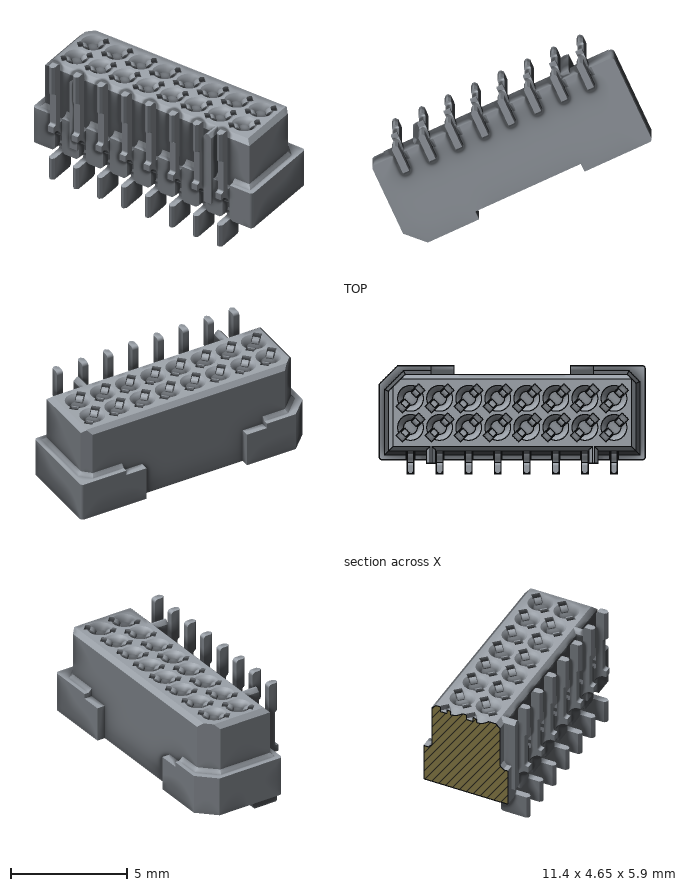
import cadquery as cq
import math

flange_length = 11.45
flange_front = 0.6
flange_back = 4.65
flange_height = 1.83
flange_corner_radius = 0.15
flange_key_chamfer = 0.8

body_length = 10.65
body_front = 0.97
body_back = 4.27
body_top = 4.2
body_edge_chamfer = 0.21
body_key_chamfer = 0.72
body_back_chamfer = 0.38
foot = 0.16

back_notch_length = 4.99
back_ledge_length = 6.98
back_ledge_depth = 0.23

rib_spacing = 6.98
rib_width = 0.4
rib_front = 0.45
rib_bottom = 0.58
rib_chamfer = 0.16

columns = 8
row_length = 8.75
pitch = row_length / (columns - 1)
column_places = [(i - (columns - 1) / 2) * pitch for i in range(columns)]
front_row_y = 1.99
row_places = [front_row_y, front_row_y + pitch]

socket_top_diameter = 1.11
socket_floor_diameter = 0.6
socket_depth = 0.25
socket_slot_length = 1.37
socket_slot_width = 0.39
socket_slot_angle = 45.0
finger_width = 0.3
finger_inner = 0.2
finger_outer = 0.44
finger_drop = 0.03
finger_tip = 0.05
finger_bulge = 0.029

pin_width = 0.3
pin_top = 4.8
pin_back = 0.49
pin_bottom = -1.1
pin_shank_front = 0.18
pin_head_bottom = 3.39
pin_shoulder_top = 1.7
pin_shoulder_bottom = 1.39
pin_bend_radius = 0.1
pin_top_radius = 0.15
pin_edge_chamfer = 0.1
arm_front = 0.57
arm_top = 1.67
arm_arc_end = 0.97
arm_arc_sagitta = 0.07
arm_bottom = 0.86
root_front = 0.75
root_radius = 0.14
tail_back = 1.32
tail_corner_chamfer = 0.08
tail_root = 0.06
post_front = 0.9
post_bend = 0.06
post_height = 0.34
post_heel_height = 0.13
post_shoulder = 0.1
slot_width = 0.35
slot_mouth_width = 0.64
slot_mouth_height = 0.13
embed = 0.11


def body_outline(grow):
    """Body outline moved outward by grow, with its two bevelled back corners."""
    side = body_length / 2 + grow
    front = body_front - grow
    back = body_back + grow
    bevel_growth = grow * (2 - math.sqrt(2))
    key = body_key_chamfer + bevel_growth
    bevel = body_back_chamfer + bevel_growth
    return [
        (-side, front),
        (side, front),
        (side, back - bevel),
        (side - bevel, back),
        (key - side, back),
        (-side, back - key),
    ]


def box(x_min, x_max, y_min, y_max, z_min, z_max):
    size = (x_max - x_min, y_max - y_min, z_max - z_min)
    return cq.Workplane("XY").box(*size, centered=False).translate((x_min, y_min, z_min))


def make_flange():
    side = flange_length / 2
    flange = box(-side, side, flange_front, flange_back, 0, flange_height)
    flange = flange.edges("|Z and (>X or <Y)").fillet(flange_corner_radius)
    flange = flange.edges("|Z and <X and >Y").chamfer(flange_key_chamfer)
    notch = back_notch_length / 2
    ledge_floor = flange_height - back_ledge_depth
    flange = flange.cut(box(-notch, notch, body_back, flange_back, 0, flange_height))
    ledge = back_ledge_length / 2
    return flange.cut(box(-ledge, ledge, body_back, flange_back, ledge_floor, flange_height))


def make_body():
    side = body_length / 2
    block = box(-side, side, body_front, body_back, 0, body_top)
    block = block.faces(">Z").edges().chamfer(body_edge_chamfer)
    return block.intersect(cq.Workplane("XY").polyline(body_outline(0)).close().extrude(body_top))


def make_foot():
    base = cq.Workplane("XY", origin=(0, 0, flange_height)).polyline(body_outline(foot)).close()
    slope = base.workplane(offset=foot).polyline(body_outline(0)).close().loft(ruled=True)
    ledge = back_ledge_length / 2
    return slope.cut(box(-ledge, ledge, body_back, body_back + foot, flange_height, flange_height + foot))


def make_rib(x):
    rib_back = body_front + body_edge_chamfer
    rib = box(x - rib_width / 2, x + rib_width / 2, rib_front, rib_back, rib_bottom, body_top)
    return rib.edges("|Y and >Z").chamfer(rib_chamfer)


def make_pin_slot(x):
    """Slot through the flange and foot, flared at the underside."""
    half = slot_width / 2
    mouth = slot_mouth_width / 2
    profile = [
        (x - mouth, 0),
        (x + mouth, 0),
        (x + half, slot_mouth_height),
        (x + half, flange_height + foot),
        (x - half, flange_height + foot),
        (x - half, slot_mouth_height),
    ]
    return cq.Workplane("XZ").polyline(profile).close().extrude(-body_front)


def make_pin_upper():
    """Head, shank, shoulder and the arm that enters the housing; drawn in the YZ plane."""
    r = pin_bend_radius
    arc_mid = r * (1 - math.sqrt(0.5))
    shank = pin_shank_front
    anchor = body_front + embed
    root_top = arm_top - root_radius
    profile = (
        cq.Workplane("YZ")
        .moveTo(0, pin_top)
        .lineTo(0, pin_head_bottom)
        .lineTo(shank - r, pin_head_bottom)
        .threePointArc((shank - arc_mid, pin_head_bottom - arc_mid), (shank, pin_head_bottom - r))
        .lineTo(shank, pin_shoulder_top + r)
        .threePointArc((shank - arc_mid, pin_shoulder_top + arc_mid), (shank - r, pin_shoulder_top))
        .lineTo(0, pin_shoulder_top)
        .lineTo(0, pin_shoulder_bottom)
        .lineTo(shank, pin_shoulder_bottom)
        .sagittaArc((arm_front, arm_arc_end), arm_arc_sagitta)
        .radiusArc((arm_front + arm_arc_end - arm_bottom, arm_bottom), -(arm_arc_end - arm_bottom))
        .lineTo(anchor, arm_bottom)
        .lineTo(anchor, root_top)
        .lineTo(root_front + root_radius, root_top)
        .radiusArc((root_front, arm_top), -root_radius)
        .lineTo(arm_front, arm_top)
        .radiusArc((pin_back, arm_top + arm_front - pin_back), arm_front - pin_back)
        .lineTo(pin_back, pin_top - pin_top_radius)
        .radiusArc((pin_back - pin_top_radius, pin_top), -pin_top_radius)
        .close()
    )
    pin = profile.extrude(pin_width / 2, both=True)
    head_zone = cq.selectors.BoxSelector(
        (-pin_width, -pin_shank_front, pin_head_bottom), (pin_width, pin_shank_front / 2, pin_top)
    )
    return pin.edges("|Z").edges(head_zone).chamfer(pin_edge_chamfer)


def make_pin_tail():
    """Solder tail under the flange and the short post that holds it to the housing."""
    tail = box(-pin_width / 2, pin_width / 2, 0, tail_back, pin_bottom, 0)
    tail = tail.edges("|Z and <Y").chamfer(pin_edge_chamfer)
    tail = tail.edges("|X and >Y and <Z").chamfer(tail_corner_chamfer)
    post_profile = [
        (post_front - post_bend, 0),
        (post_front, post_heel_height),
        (post_front, post_height - post_shoulder),
        (body_front, post_height),
        (tail_back, post_height),
        (tail_back + tail_root, 0),
        (tail_back, -tail_root),
        (post_front, -tail_root),
    ]
    post = cq.Workplane("YZ").polyline(post_profile).close().extrude(pin_width / 2, both=True)
    return tail.union(post)


def make_socket():
    """Conical lead-in with a diagonal slot; its top face is z = 0."""
    cone = (
        cq.Workplane("XY")
        .circle(socket_top_diameter / 2)
        .workplane(offset=-socket_depth)
        .circle(socket_floor_diameter / 2)
        .loft()
    )
    slot = box(
        -socket_slot_length / 2,
        socket_slot_length / 2,
        -socket_slot_width / 2,
        socket_slot_width / 2,
        -socket_depth,
        0,
    )
    tip_z = finger_tip - socket_depth
    finger_mid = (
        (finger_inner + finger_outer) / 2 - finger_bulge,
        (tip_z - finger_drop) / 2 + finger_bulge,
    )
    finger = (
        cq.Workplane("XZ")
        .moveTo(finger_inner, -socket_depth)
        .lineTo(finger_inner, tip_z)
        .threePointArc(finger_mid, (finger_outer, -finger_drop))
        .lineTo(finger_outer, -socket_depth)
        .close()
        .extrude(finger_width / 2, both=True)
    )
    socket = cone.union(slot).cut(finger).cut(finger.mirror("YZ"))
    return socket.rotate((0, 0, 0), (0, 0, 1), socket_slot_angle)


result = make_flange().union(make_body()).union(make_foot())

for x in column_places:
    result = result.cut(make_pin_slot(x))

for x in (-rib_spacing / 2, rib_spacing / 2):
    result = result.union(make_rib(x))

socket = make_socket()
for y in row_places:
    for x in column_places:
        result = result.cut(socket.translate((x, y, body_top)))

pin = make_pin_upper().union(make_pin_tail())
for x in column_places:
    result = result.union(pin.translate((x, 0, 0)))